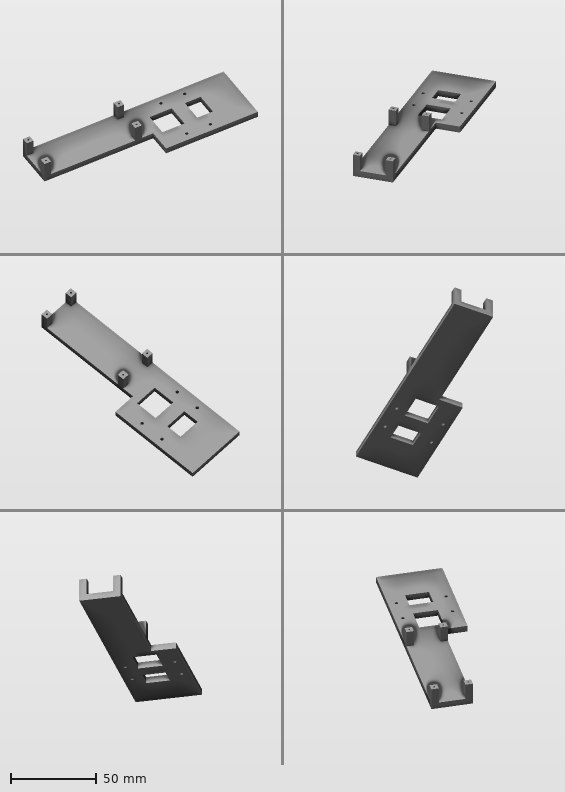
import cadquery as cq

length = 136.0
head_width = 40.0
tail_width = 25.0
head_length = 62.3
plate_thickness = 4.0

total_height = 14.0
post_side = 4.5
post_pitch_y = 61.5
pilot_diameter = 1.2

mount_diameter = 2.0
mount_edge_offset = 5.0
mount_pitch_x = 30.0
mount_pitch_y = 16.0
mount_end_offset = 29.4

window_left = 12.0
small_window_width = 14.4
small_window_length = 10.6
small_window_end_offset = 22.6
large_window_side = 15.0
large_window_end_offset = 42.2


def block(x, y, width, depth, height):
    """Box standing on Z = 0 with its low X, low Y corner at (x, y)."""
    return cq.Workplane("XY").box(width, depth, height, centered=False).translate((x, y, 0))


def window(end_offset, width, depth):
    """Cutter for a window whose far edge lies end_offset from the +Y end."""
    return block(window_left, length - end_offset - depth, width, depth, plate_thickness)


def drill(points, diameter, bottom, top):
    """Vertical round cutters from bottom to top at the given points."""
    return cq.Workplane("XY", origin=(0, 0, bottom)).pushPoints(points).circle(diameter / 2).extrude(top - bottom)


result = block(0, 0, tail_width, length, plate_thickness).union(
    block(0, length - head_length, head_width, head_length, plate_thickness)
)

post_corners = [(x, y) for x in (0, tail_width - post_side) for y in (0, post_pitch_y)]
for x, y in post_corners:
    result = result.union(block(x, y, post_side, post_side, total_height))

post_centers = [(x + post_side / 2, y + post_side / 2) for x, y in post_corners]
result = result.cut(drill(post_centers, pilot_diameter, plate_thickness, total_height))

mount_far_y = length - mount_end_offset
mount_points = [
    (x, y)
    for x in (mount_edge_offset, mount_edge_offset + mount_pitch_x)
    for y in (mount_far_y, mount_far_y - mount_pitch_y)
]
result = result.cut(drill(mount_points, mount_diameter, 0, plate_thickness))

result = result.cut(window(small_window_end_offset, small_window_width, small_window_length))
result = result.cut(window(large_window_end_offset, large_window_side, large_window_side))